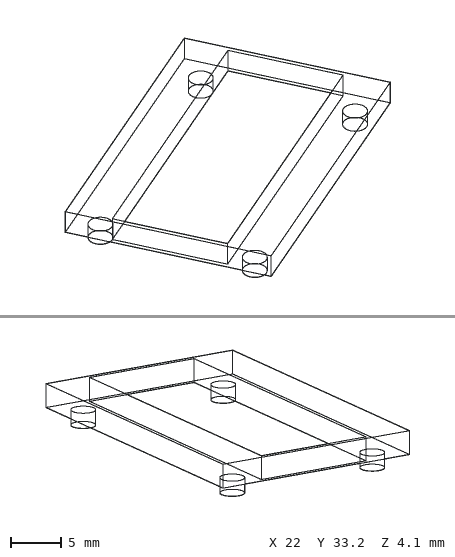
import cadquery as cq

width = 22.02
length = 33.22
total_height = 4.1
pin_height = 1.6
frame_height = total_height - pin_height

rail_width = 4.85
end_wall = 0.5
window_width = width - 2 * rail_width
window_length = length - 2 * end_wall

pin_diameter = 2.5
pin_spacing_x = 16.5
pin_spacing_y = 27.97

frame = (
    cq.Workplane("XY")
    .rect(width, length)
    .rect(window_width, window_length)
    .extrude(frame_height)
)

pins = (
    cq.Workplane("XY")
    .rect(pin_spacing_x, pin_spacing_y, forConstruction=True)
    .vertices()
    .circle(pin_diameter / 2)
    .extrude(-pin_height)
)

result = frame.union(pins)